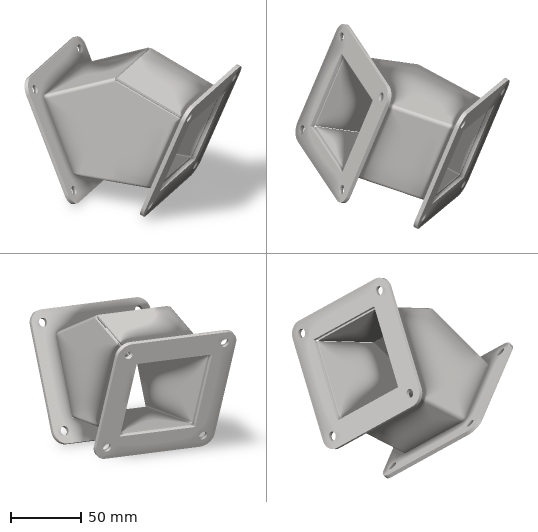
import cadquery as cq
import math

TILT = 22.5
COS = math.cos(math.radians(TILT))
SIN = math.sin(math.radians(TILT))

DUCT_SIZE = 63.3
SHEET = 1.7
BEND_INNER = 0.98
BEND_OUTER = BEND_INNER + SHEET
BOTTOM_HALF = 31.6
CORNER_GAP = 0.2
RIDGE_GAP = 0.07

FLANGE_SIZE = 98.5
FLANGE_THICK = 3.0
FLANGE_CORNER = 10.0
OPENING = 62.4
HOLE_SPACING = 79.5
HOLE_DIAMETER = 6.5

MOUTH_TOP_X = -(BOTTOM_HALF + DUCT_SIZE * SIN)
MOUTH_TOP_Z = DUCT_SIZE * COS
RIDGE_Z = MOUTH_TOP_Z - MOUTH_TOP_X * SIN / COS
SLOPE_LENGTH = -MOUTH_TOP_X / COS

SLOPE_PLANE = cq.Plane(origin=(0, 0, RIDGE_Z), xDir=(COS, 0, SIN), normal=(-SIN, 0, COS))

MOUTH_PLANE = cq.Plane(
    origin=((MOUTH_TOP_X - BOTTOM_HALF) / 2, 0, MOUTH_TOP_Z / 2),
    xDir=(0, -1, 0),
    normal=(-COS, 0, -SIN),
)


def half_prism(inset, bend_radius):
    """Left half of the duct envelope, inset by a distance and rounded along its bends."""
    bottom_z = inset
    ridge_z = RIDGE_Z - inset / COS
    mouth_bottom_x = -BOTTOM_HALF - inset * SIN / COS
    mouth_top_x = MOUTH_TOP_X + inset * SIN
    mouth_top_z = MOUTH_TOP_Z - inset * COS
    half_width = DUCT_SIZE / 2 - inset
    prism = (
        cq.Workplane("XZ", origin=(0, half_width, 0))
        .moveTo(0, bottom_z)
        .lineTo(mouth_bottom_x, bottom_z)
        .lineTo(mouth_top_x, mouth_top_z)
        .lineTo(0, ridge_z)
        .close()
        .extrude(2 * half_width)
    )
    slope_middle = (mouth_top_x / 2, -half_width, (mouth_top_z + ridge_z) / 2)
    bottom_bends = prism.faces("<Z").edges("|X")
    top_bend = prism.edges(cq.selectors.NearestToPointSelector(slope_middle))
    return prism.newObject(bottom_bends.vals() + top_bend.vals()).fillet(bend_radius)


def corner_seam():
    """Open corner along the top +Y edge, between the top panel and the side wall."""
    depth = SHEET + CORNER_GAP
    return cq.Workplane(SLOPE_PLANE).box(2 * SLOPE_LENGTH, 2 * depth, 2 * depth).translate(
        (0, DUCT_SIZE / 2, 0)
    )


def ridge_seam():
    """Trims the top panel square at its upper end, just short of the ridge."""
    panel_end = -SHEET * SIN / COS - RIDGE_GAP
    return (
        cq.Workplane(SLOPE_PLANE)
        .center(panel_end, 0)
        .box(SLOPE_LENGTH, DUCT_SIZE, 2 * SHEET, centered=(False, True, True))
    )


def bottom_end_trim():
    """Squares off the end of the bottom panel between the side walls."""
    return cq.Workplane("XY", origin=(-BOTTOM_HALF, 0, 0)).box(
        2 * SHEET, DUCT_SIZE - 2 * SHEET, SHEET, centered=(True, True, False)
    ).translate((-SHEET, 0, 0))


def half_duct():
    shell = half_prism(0, BEND_OUTER).cut(half_prism(SHEET, BEND_INNER))
    return shell.cut(corner_seam()).cut(ridge_seam()).cut(bottom_end_trim())


def opposite(half):
    """Copy turned half a turn about the vertical axis."""
    return half.rotate((0, 0, 0), (0, 0, 1), 180)


def make_duct():
    left_half = half_duct()
    return left_half.union(opposite(left_half))


def left_flange():
    plate = (
        cq.Workplane(MOUTH_PLANE)
        .rect(FLANGE_SIZE, FLANGE_SIZE)
        .extrude(FLANGE_THICK)
        .edges(cq.selectors.ParallelDirSelector(MOUTH_PLANE.zDir))
        .fillet(FLANGE_CORNER)
    )
    opening = cq.Workplane(MOUTH_PLANE).rect(OPENING, OPENING).extrude(FLANGE_THICK)
    bolt_holes = (
        cq.Workplane(MOUTH_PLANE)
        .rect(HOLE_SPACING, HOLE_SPACING, forConstruction=True)
        .vertices()
        .circle(HOLE_DIAMETER / 2)
        .extrude(FLANGE_THICK)
    )
    return plate.cut(opening).cut(bolt_holes)


def make_flanges():
    flanges = []
    for turn in (0, 180):
        flanges.append(left_flange().rotate((0, 0, 0), (0, 0, 1), turn).solids().val())
    return flanges


duct = make_duct()
flanges = make_flanges()

result = cq.Compound.makeCompound([duct.solids().val(), *flanges])